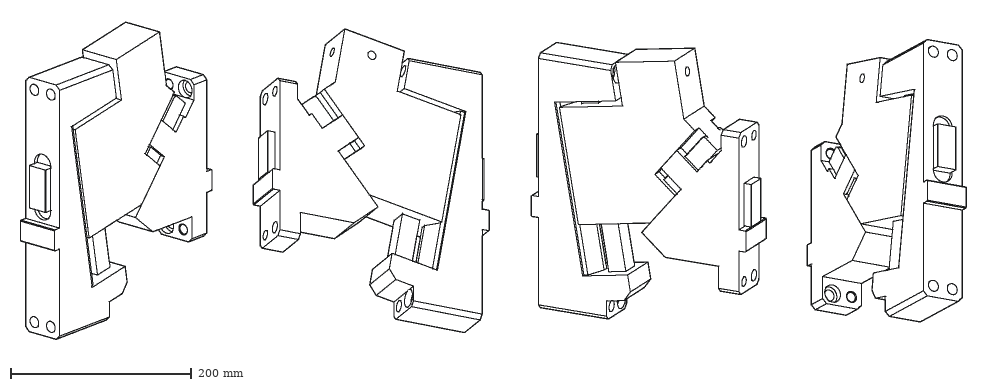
import cadquery as cq
import math

WIDTH = 50.0
HALF_WIDTH = WIDTH / 2
HEIGHT = 318.0
DEPTH = 250.0
EDGE_CHAMFER = 5.0

TAB_BOTTOM = 107.5
TAB_TOP = 132.3
TAB_REACH = 9.0
TAB_CHAMFER = 1.0

KEY_WIDTH = 24.0
KEY_LENGTH = 50.0
KEY_CHAMFER = 0.5
KEY_SLOT_LENGTH = 77.0
KEY_SLOT_DEPTH = 5.0
FRONT_KEY_Z = 175.0
REAR_KEY_Z = 158.0

BOLT_DIAMETER = 12.7
BOLT_HEAD_DIAMETER = 20.0
BOLT_X = 12.0
BOLT_TO_EDGE = 13.0
BOLT_SEAT_DEPTH = 8.0
THREAD_DIAMETER = 10.8
THREAD_COUNTERSINK = 1.0

FRONT_TOP = 299.7
FOOT_DEPTH = 85.0
WAY_TILT = math.radians(10)
WAY_Y = 55.5
WAY_Z = 47.7
NOTCH_HEIGHT = 201.7
ARM_REACH = 77.3
LIP_REACH = 57.0
LIP_THICKNESS = 29.5
LIP_CHAMFER = 10.0
RIB_BASE = 5.0
RIB_HEIGHT = 16.0
RIB_WIDTH = 44.0
RIB_TAPER = math.radians(60)
BAR_NEAR = 25.8
BAR_FAR = 47.5
BAR_WIDTH = 21.5

SLIDER_BOTTOM = 59.5
SLIDER_SHOULDER = 195.5
SLIDER_HEAD_NEAR = 85.0
SLIDER_FAR = 159.7
SLIDER_TOP = (HEIGHT - WAY_Z - SLIDER_FAR * math.sin(WAY_TILT)) / math.cos(WAY_TILT)
DRILL_DIAMETER = 10.0
DRILL_HEIGHT = 226.8
SIDE_DRILL_DEPTH = 16.0
DRILL_POINT = math.radians(59)

REAR_BOTTOM = 54.7
REAR_TOP = 245.3
REAR_FOOT_DEPTH = 25.5
REAR_NECK_DEPTH = 22.0
REAR_FOOT_TOP = 85.5
SEAT_TILT = math.radians(40)
SEAT_Y = 128.8
SEAT_Z = 110.5
SEAT_RELIEF = 4.0
SEAT_RELIEF_START = 127.2

LEVEL = 0
UPRIGHT = math.radians(90)
WAY_ACROSS = WAY_TILT
WAY_ALONG = WAY_TILT + UPRIGHT
SEAT_ALONG = UPRIGHT - SEAT_TILT
SEAT_ACROSS = -SEAT_TILT

TEE_START = 65.0
TEE_END = 142.2
TEE_HEAD_HEIGHT = 22.3
TEE_HEIGHT = 32.8
TEE_HEAD_WIDTH = 38.5
TEE_NECK_WIDTH = 29.0
TEE_CORNER_RADIUS = 4.0
CLAW_START = 76.5
CLAW_END = 107.2
CLAW_SLOT_WIDTH = 41.7


def way(up, out):
    """(Y, Z) of a point given along the notch wall and square to it."""
    y = WAY_Y - up * math.sin(WAY_TILT) + out * math.cos(WAY_TILT)
    z = WAY_Z + up * math.cos(WAY_TILT) + out * math.sin(WAY_TILT)
    return y, z


def seat(along, out):
    """(Y, Z) of a point given up along the rear seat and square to it."""
    y = SEAT_Y + along * math.sin(SEAT_TILT) - out * math.cos(SEAT_TILT)
    z = SEAT_Z + along * math.cos(SEAT_TILT) + out * math.sin(SEAT_TILT)
    return y, z


def crossing(point_a, angle_a, point_b, angle_b):
    """Point where two lines in the YZ plane cross; angles are measured from +Y towards +Z."""
    gap_y = point_b[0] - point_a[0]
    gap_z = point_b[1] - point_a[1]
    turn = math.sin(angle_b - angle_a)
    distance = (gap_y * math.sin(angle_b) - gap_z * math.cos(angle_b)) / turn
    return point_a[0] + distance * math.cos(angle_a), point_a[1] + distance * math.sin(angle_a)


def plate(points, width=WIDTH):
    """Plate with a (Y, Z) outline, centred across the width."""
    return cq.Workplane("YZ").polyline(points).close().extrude(width / 2, both=True)


def band(frame, start, end, low, high, width):
    """Rectangular bar in one of the tilted frames, centred across the width."""
    corners = [(start, low), (end, low), (end, high), (start, high)]
    return plate([frame(*corner) for corner in corners], width)


def chamfered_ends(body, bottom, top):
    """Cut a block down to an outline whose four long edges are chamfered."""
    envelope = (
        cq.Workplane("XY")
        .box(WIDTH, 2 * DEPTH, top - bottom)
        .edges("|Y")
        .chamfer(EDGE_CHAMFER)
        .translate((0, DEPTH / 2, (bottom + top) / 2))
    )
    return body.intersect(envelope)


def tab(face_y, outward):
    """Full-width locating tab; outward is the sign of Y it points to."""
    tip_face = ">Y" if outward > 0 else "<Y"
    return (
        cq.Workplane("XY")
        .box(WIDTH, TAB_REACH, TAB_TOP - TAB_BOTTOM)
        .faces(tip_face)
        .edges("|X")
        .chamfer(TAB_CHAMFER)
        .translate((0, face_y + outward * TAB_REACH / 2, (TAB_TOP + TAB_BOTTOM) / 2))
    )


def key(face_y, outward, z, root):
    """Rectangular key that starts a depth `root` inside the face."""
    tip_face = ">Y" if outward > 0 else "<Y"
    length = root + TAB_REACH
    return (
        cq.Workplane("XY")
        .box(KEY_WIDTH, length, KEY_LENGTH)
        .faces(tip_face)
        .edges("|Z")
        .chamfer(KEY_CHAMFER)
        .translate((0, face_y + outward * (length / 2 - root), z))
    )


def rod(x, z, diameter, y_start, y_end):
    """Cylinder along Y."""
    start = cq.Vector(x, y_start, z)
    return cq.Workplane(cq.Solid.makeCylinder(diameter / 2, y_end - y_start, start, cq.Vector(0, 1, 0)))


def front_outline():
    lip_corner = way(-LIP_THICKNESS, LIP_REACH - LIP_CHAMFER)
    arm_tip = way(NOTCH_HEIGHT, ARM_REACH)
    return [
        (0, 0),
        (0, FRONT_TOP),
        crossing((0, FRONT_TOP), LEVEL, arm_tip, WAY_ALONG),
        arm_tip,
        way(NOTCH_HEIGHT, 0),
        way(0, 0),
        way(0, LIP_REACH),
        way(LIP_CHAMFER - LIP_THICKNESS, LIP_REACH),
        lip_corner,
        crossing((FOOT_DEPTH, 0), UPRIGHT, lip_corner, WAY_ACROSS),
        (FOOT_DEPTH, 0),
    ]


def guide_rib():
    """Rib on the notch wall: straight base, then flanks tapering inwards."""
    half_base = RIB_WIDTH / 2
    half_tip = half_base - (RIB_HEIGHT - RIB_BASE) * math.tan(RIB_TAPER)
    profile = [
        (-half_base, 0),
        (half_base, 0),
        (half_base, RIB_BASE),
        (half_tip, RIB_HEIGHT),
        (-half_tip, RIB_HEIGHT),
        (-half_base, RIB_BASE),
    ]
    lower_end = cq.Plane(
        origin=(0, WAY_Y, WAY_Z),
        xDir=(1, 0, 0),
        normal=(0, -math.sin(WAY_TILT), math.cos(WAY_TILT)),
    )
    return cq.Workplane(lower_end).polyline(profile).close().extrude(NOTCH_HEIGHT)


def guide_bar():
    """Bar that spans the notch from the lip to the upper arm."""
    return band(way, 0, NOTCH_HEIGHT, BAR_NEAR, BAR_FAR, BAR_WIDTH)


def front_block():
    body = chamfered_ends(plate(front_outline()), 0, FRONT_TOP)
    body = body.union(guide_rib()).union(guide_bar())

    slot = (
        cq.Workplane("XZ")
        .center(0, FRONT_KEY_Z)
        .slot2D(KEY_SLOT_LENGTH, KEY_WIDTH, 90)
        .extrude(-KEY_SLOT_DEPTH)
    )
    body = body.cut(slot)
    body = body.union(key(0, -1, FRONT_KEY_Z, KEY_SLOT_DEPTH)).union(tab(0, -1))

    lower_z = BOLT_TO_EDGE
    upper_z = FRONT_TOP - BOLT_TO_EDGE
    arm_end = crossing((0, upper_z), LEVEL, way(NOTCH_HEIGHT, ARM_REACH), WAY_ALONG)[0]
    for z in (lower_z, upper_z):
        for x in (-BOLT_X, BOLT_X):
            body = body.cut(rod(x, z, BOLT_DIAMETER, 0, DEPTH))
    body = body.cut(rod(BOLT_X, upper_z, BOLT_HEAD_DIAMETER, arm_end - BOLT_SEAT_DEPTH, DEPTH))
    body = body.cut(rod(-BOLT_X, lower_z, BOLT_HEAD_DIAMETER, FOOT_DEPTH - BOLT_SEAT_DEPTH, DEPTH))
    return body


def slider_tee_sides():
    """Material removed on both sides to leave the tee."""
    full_width = band(seat, TEE_START, TEE_END, 0, TEE_HEIGHT, WIDTH)
    head = band(seat, TEE_START, TEE_END, 0, TEE_HEAD_HEIGHT, TEE_HEAD_WIDTH)
    neck = band(seat, TEE_START, TEE_END, TEE_HEAD_HEIGHT, TEE_HEIGHT, TEE_NECK_WIDTH)
    return full_width.cut(head).cut(neck)


def slider_corner_waste():
    """Waste outside the rounded upper corner of the tee head, beside its neck."""
    r = TEE_CORNER_RADIUS
    square = band(seat, TEE_END - r, TEE_END, TEE_HEAD_HEIGHT - r, TEE_HEAD_HEIGHT, WIDTH)
    centre_y, centre_z = seat(TEE_END - r, TEE_HEAD_HEIGHT - r)
    round_part = cq.Workplane("YZ").center(centre_y, centre_z).circle(r).extrude(HALF_WIDTH, both=True)
    neck = band(seat, TEE_START, TEE_END, 0, TEE_HEIGHT, TEE_NECK_WIDTH)
    return square.cut(round_part).cut(neck)


def slider_drillings():
    """Blind hole in the left side and a hole from the rear that meets it."""
    radius = DRILL_DIAMETER / 2
    middle = (SLIDER_HEAD_NEAR + SLIDER_FAR) / 2
    middle_y, middle_z = way(DRILL_HEIGHT, middle)
    inward = cq.Vector(1, 0, 0)
    side = cq.Solid.makeCylinder(
        radius, SIDE_DRILL_DEPTH, cq.Vector(-HALF_WIDTH, middle_y, middle_z), inward
    )
    point = cq.Solid.makeCone(
        radius,
        0,
        radius / math.tan(DRILL_POINT),
        cq.Vector(-HALF_WIDTH + SIDE_DRILL_DEPTH, middle_y, middle_z),
        inward,
    )
    rear = cq.Solid.makeCylinder(
        radius,
        SLIDER_FAR - middle,
        cq.Vector(0, middle_y, middle_z),
        cq.Vector(0, math.cos(WAY_TILT), math.sin(WAY_TILT)),
    )
    return cq.Workplane(side).union(cq.Workplane(point)).union(cq.Workplane(rear))


def slider_outline():
    tee_end = seat(TEE_END, 0)
    knee = crossing(tee_end, SEAT_ACROSS, way(0, SLIDER_FAR), WAY_ALONG)
    seat_low = crossing(seat(0, 0), SEAT_ALONG, way(SLIDER_BOTTOM, 0), WAY_ACROSS)
    return [
        way(SLIDER_BOTTOM, RIB_BASE),
        way(SLIDER_SHOULDER, RIB_BASE),
        way(SLIDER_SHOULDER, SLIDER_HEAD_NEAR),
        way(SLIDER_TOP, SLIDER_HEAD_NEAR),
        way(SLIDER_TOP, SLIDER_FAR),
        knee,
        tee_end,
        seat_low,
    ]


def slider_body():
    body = plate(slider_outline())
    body = body.cut(slider_tee_sides()).cut(slider_corner_waste())
    body = body.cut(slider_drillings())
    return body.cut(guide_rib()).cut(guide_bar())


def rear_outline():
    foot_y = DEPTH - REAR_FOOT_DEPTH
    neck_y = DEPTH - REAR_NECK_DEPTH
    relief_low = seat(SEAT_RELIEF_START, -SEAT_RELIEF)
    return [
        (DEPTH, REAR_BOTTOM),
        (foot_y, REAR_BOTTOM),
        (foot_y, REAR_FOOT_TOP),
        crossing((foot_y, REAR_FOOT_TOP), LEVEL, seat(0, 0), SEAT_ACROSS),
        seat(0, 0),
        seat(SEAT_RELIEF_START, 0),
        relief_low,
        crossing((neck_y, REAR_TOP), UPRIGHT, relief_low, SEAT_ALONG),
        (neck_y, REAR_TOP),
        (DEPTH, REAR_TOP),
    ]


def rear_claw():
    """Two hooked jaws that reach around the slider's tee."""
    claw = band(seat, CLAW_START, CLAW_END, 0, TEE_HEIGHT, WIDTH)
    head_slot = band(seat, CLAW_START, CLAW_END, 0, TEE_HEAD_HEIGHT, CLAW_SLOT_WIDTH)
    neck_slot = band(seat, CLAW_START, CLAW_END, TEE_HEAD_HEIGHT, TEE_HEIGHT, TEE_NECK_WIDTH)
    return claw.cut(head_slot).cut(neck_slot)


def counterbored_hole(x, z, inner_y):
    """Bolt hole out to the rear face, its head sunk into the inner face at inner_y."""
    head = rod(x, z, BOLT_HEAD_DIAMETER, inner_y, inner_y + BOLT_SEAT_DEPTH)
    return rod(x, z, BOLT_DIAMETER, inner_y, DEPTH).union(head)


def threaded_hole(x, z, inner_y):
    """Hole out to the rear face, countersunk at the inner face."""
    mouth = cq.Solid.makeCone(
        THREAD_DIAMETER / 2 + THREAD_COUNTERSINK,
        THREAD_DIAMETER / 2,
        THREAD_COUNTERSINK,
        cq.Vector(x, inner_y, z),
        cq.Vector(0, 1, 0),
    )
    return rod(x, z, THREAD_DIAMETER, inner_y, DEPTH).union(cq.Workplane(mouth))


def rear_block():
    body = chamfered_ends(plate(rear_outline()), REAR_BOTTOM, REAR_TOP)
    body = body.union(rear_claw()).union(tab(DEPTH, 1)).union(key(DEPTH, 1, REAR_KEY_Z, 0))

    lower_z = REAR_BOTTOM + BOLT_TO_EDGE
    upper_z = REAR_TOP - BOLT_TO_EDGE
    foot_y = DEPTH - REAR_FOOT_DEPTH
    neck_y = DEPTH - REAR_NECK_DEPTH
    body = body.cut(counterbored_hole(BOLT_X, upper_z, neck_y))
    body = body.cut(counterbored_hole(-BOLT_X, lower_z, foot_y))
    body = body.cut(threaded_hole(-BOLT_X, upper_z, neck_y))
    body = body.cut(threaded_hole(BOLT_X, lower_z, foot_y))
    return body


front = front_block()
slider = slider_body()
rear = rear_block()

result = cq.Compound.makeCompound([body.solids().val() for body in (front, slider, rear)])